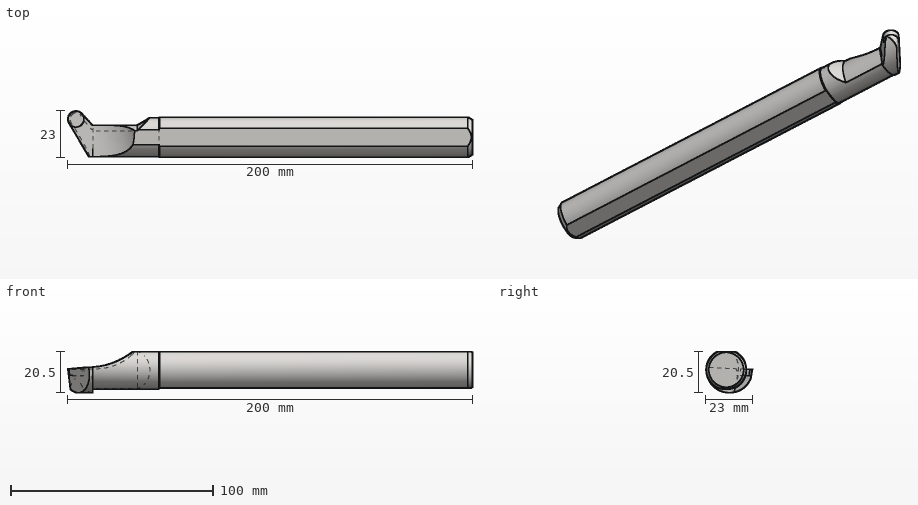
import cadquery as cq
import math

LENGTH = 200.0
SHANK_RADIUS = 10.0
NECK_RADIUS = 9.7
FLAT_HEIGHT = 9.0
NECK_END = 45.0
STEP_LENGTH = 0.5
END_CHAMFER_LENGTH = 2.5
END_CHAMFER_DEPTH = 1.5

INSERT_RADIUS = 4.0
INSERT_THICKNESS = 3.2
INSERT_X = INSERT_RADIUS
INSERT_Y = 9.0
CLEARANCE_ANGLE = 7.0

RAKE_ANGLE = 3.0
RAKE_HEIGHT = 0.5

HEAD_RADIUS = 11.5
HEAD_AXIS_Y = 1.5
HEAD_END = 12.5
HEAD_HEEL_X = 10.5
HEAD_BACK_X = 12.2
RELIEF_Y = 6.0
DEPTH = 16.0

RAMP_AXIS_X = -6.0
RAMP_AXIS_Y = 2.0
RAMP_FLOOR_RADIUS = 20.0
RAMP_ARC_RADIUS = 26.0

RELIEF_RADIUS = 16.0
RELIEF_CONE_START = 34.2
RELIEF_CONE_END = 40.5

CLEAR = 30.0


def flat_cut(start, side):
    """Block that leaves a flat on the +Z (side = 1) or -Z (side = -1) face."""
    run = LENGTH - start
    center = (start + run / 2, 0, side * (FLAT_HEIGHT + CLEAR / 2))
    return cq.Workplane("XY").box(run, 2 * CLEAR, CLEAR).translate(center)


def rake_plane():
    """Plane of the rake face, origin at the insert centre, normal pointing up."""
    tilt = math.radians(RAKE_ANGLE)
    normal = (0, math.sin(tilt), math.cos(tilt))
    return cq.Plane(origin=(INSERT_X, INSERT_Y, RAKE_HEIGHT), xDir=(1, 0, 0), normal=normal)


def tangent_point(x, y, side):
    """Point where a line from (x, y) touches the insert circle at the origin."""
    turn = side * math.acos(INSERT_RADIUS / math.hypot(x, y))
    angle = math.atan2(y, x) + turn
    return INSERT_RADIUS * math.cos(angle), INSERT_RADIUS * math.sin(angle)


def make_shank_and_neck():
    profile = [
        (HEAD_END, 0),
        (LENGTH, 0),
        (LENGTH, SHANK_RADIUS - END_CHAMFER_DEPTH),
        (LENGTH - END_CHAMFER_LENGTH, SHANK_RADIUS),
        (NECK_END + STEP_LENGTH, SHANK_RADIUS),
        (NECK_END, NECK_RADIUS),
        (HEAD_END, NECK_RADIUS),
    ]
    bar = cq.Workplane("XY").polyline(profile).close().revolve(360, (0, 0, 0), (1, 0, 0))
    return bar.cut(flat_cut(HEAD_END, 1)).cut(flat_cut(NECK_END, -1))


def make_relief_cutter():
    """Everything outside the relief round, on the +Y side of the neck."""
    axis_y = RELIEF_Y - RELIEF_RADIUS
    far = NECK_RADIUS - axis_y
    profile = [
        (0, RELIEF_RADIUS),
        (RELIEF_CONE_START, RELIEF_RADIUS),
        (RELIEF_CONE_END, far),
        (RELIEF_CONE_END, far + CLEAR),
        (0, far + CLEAR),
    ]
    ring = cq.Workplane("XY", origin=(0, axis_y, 0)).polyline(profile).close()
    ring = ring.revolve(360, (0, 0, 0), (1, 0, 0))
    side = cq.Workplane("XY").box(2 * LENGTH, CLEAR, 2 * CLEAR).translate((0, CLEAR / 2, 0))
    return ring.intersect(side)


def make_head():
    """Drafted arm carrying the insert, rounded underneath."""
    heel = (HEAD_HEEL_X - INSERT_X, -NECK_RADIUS - INSERT_Y)
    back = (HEAD_BACK_X - INSERT_X, RELIEF_Y - INSERT_Y)
    front_touch = tangent_point(*heel, -1)
    back_touch = tangent_point(*back, 1)
    middle = INSERT_RADIUS * math.sqrt(0.5)
    plan = (
        cq.Workplane(rake_plane())
        .moveTo(*heel)
        .lineTo(*front_touch)
        .threePointArc((-middle, middle), back_touch)
        .lineTo(*back)
        .lineTo(CLEAR, back[1])
        .lineTo(CLEAR, heel[1])
        .close()
        .extrude(-DEPTH, taper=CLEARANCE_ANGLE)
    )
    head_round = cq.Workplane("YZ", origin=(0, HEAD_AXIS_Y, 0)).circle(HEAD_RADIUS).extrude(HEAD_END)
    return plan.intersect(head_round)


def make_ramp_cutter():
    """Space above the rake face, with a floor curving up into the neck."""
    axis_x = RAMP_AXIS_X - INSERT_X
    axis_y = RAMP_AXIS_Y - INSERT_Y
    plane = rake_plane()
    plane.origin = plane.toWorldCoords((axis_x, axis_y, 0))
    plane = plane.rotated((90, 0, 0))
    reach = RAMP_FLOOR_RADIUS + RAMP_ARC_RADIUS
    middle = RAMP_ARC_RADIUS * math.sqrt(0.5)
    return (
        cq.Workplane(plane)
        .lineTo(RAMP_FLOOR_RADIUS, 0)
        .threePointArc((RAMP_FLOOR_RADIUS + middle, RAMP_ARC_RADIUS - middle), (reach, RAMP_ARC_RADIUS))
        .lineTo(0, RAMP_ARC_RADIUS)
        .close()
        .revolve(360, (0, 0, 0), (0, 1, 0))
    )


def make_insert():
    return (
        cq.Workplane(rake_plane())
        .circle(INSERT_RADIUS)
        .extrude(-INSERT_THICKNESS, taper=CLEARANCE_ANGLE)
    )


insert = make_insert()
neck = make_shank_and_neck().cut(make_relief_cutter())
bar = neck.union(make_head()).cut(make_ramp_cutter()).cut(insert)

result = cq.Compound.makeCompound([bar.val(), insert.val()])